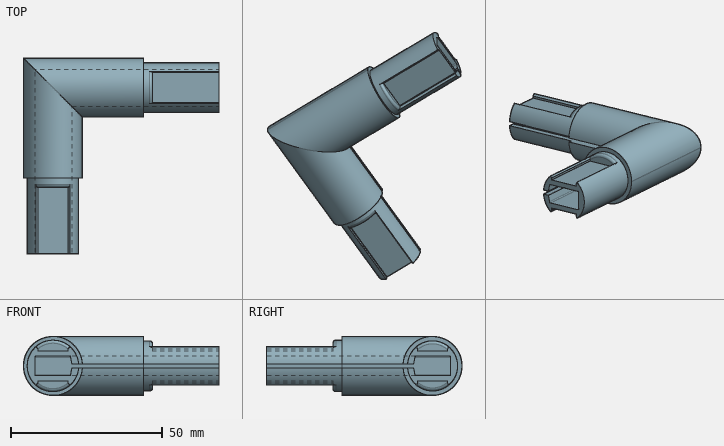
import cadquery as cq
import math

SLEEVE_RADIUS = 9.78
SLEEVE_LENGTH = 30.0
SPIGOT_LENGTH = 25.0
ARM_LENGTH = SLEEVE_LENGTH + SPIGOT_LENGTH
X_SPIGOT_RADIUS = 8.3
Y_SPIGOT_RADIUS = 8.53

COLLAR_LENGTH = 3.0
COLLAR_FILLET = 1.0

POCKET_FLOOR_HEIGHT = 4.96
POCKET_FLOOR_HALF_WIDTH = 5.0
POCKET_BEND_HEIGHT = 5.65
LIP_HEIGHT = 6.38

CAVITY_HALF_HEIGHT = 3.25
CAVITY_OUTER_REACH = 5.97
CAVITY_INNER_REACH = 5.76
CAVITY_FILLET = 0.4
SLOT_HALF_HEIGHT = 0.7
SLOT_MOUTH_REACH = 6.25

MITRE_NORMAL = (1, 1, 0)


def cylinder(radius, start, length):
    """Cylinder about the X axis."""
    return cq.Workplane("YZ").workplane(offset=start).circle(radius).extrude(length)


def pocket(spigot_radius):
    """Upper pocket cutter, with leaning side walls that meet the outside at the lips."""
    lip_half_width = math.sqrt(spigot_radius**2 - LIP_HEIGHT**2)
    top = SLEEVE_RADIUS
    right_side = [
        (POCKET_FLOOR_HALF_WIDTH, POCKET_FLOOR_HEIGHT),
        (POCKET_FLOOR_HALF_WIDTH, POCKET_BEND_HEIGHT),
        (lip_half_width, LIP_HEIGHT),
        (lip_half_width, top),
    ]
    left_side = [(-y, z) for y, z in reversed(right_side)]
    section = cq.Workplane("YZ").workplane(offset=SLEEVE_LENGTH).polyline(right_side + left_side)
    return section.close().extrude(SPIGOT_LENGTH)


def spigot(radius):
    upper_pocket = pocket(radius)
    lower_pocket = upper_pocket.mirror("XY")
    body = cylinder(radius, SLEEVE_LENGTH, SPIGOT_LENGTH).cut(upper_pocket).cut(lower_pocket)
    collar = cylinder(radius, SLEEVE_LENGTH, COLLAR_LENGTH).faces(">X").edges().fillet(COLLAR_FILLET)
    return body.union(collar)


def cavity():
    """Rounded rectangular passage with a tapered side."""
    start = -SLEEVE_RADIUS
    section = cq.Workplane("YZ").workplane(offset=start).polyline([
        (CAVITY_OUTER_REACH, CAVITY_HALF_HEIGHT),
        (-CAVITY_INNER_REACH, CAVITY_HALF_HEIGHT),
        (-SLOT_MOUTH_REACH, SLOT_HALF_HEIGHT),
        (-SLOT_MOUTH_REACH, -SLOT_HALF_HEIGHT),
        (-CAVITY_INNER_REACH, -CAVITY_HALF_HEIGHT),
        (CAVITY_OUTER_REACH, -CAVITY_HALF_HEIGHT),
    ])
    passage = section.close().extrude(ARM_LENGTH - start)
    return passage.edges("|X and (>Z or <Z)").fillet(CAVITY_FILLET)


def slot():
    """Narrow slot from the cavity out through the inner side of the arm."""
    return cq.Workplane("XY").box(
        ARM_LENGTH + SLEEVE_RADIUS,
        SLEEVE_RADIUS,
        2 * SLOT_HALF_HEIGHT,
        centered=(False, False, True),
    ).translate((-SLEEVE_RADIUS, -SLEEVE_RADIUS, 0))


def mitre_side():
    """Prism holding everything on the +X, +Y side of the mitre plane."""
    corners = [
        (-ARM_LENGTH, ARM_LENGTH),
        (ARM_LENGTH, -ARM_LENGTH),
        (ARM_LENGTH, ARM_LENGTH),
    ]
    prism = cq.Workplane("XY").polyline(corners).close()
    return prism.extrude(2 * SLEEVE_RADIUS, both=True)


def arm(spigot_radius):
    """Arm along +X, cut off at the mitre plane."""
    sleeve = cylinder(SLEEVE_RADIUS, -SLEEVE_RADIUS, SLEEVE_LENGTH + SLEEVE_RADIUS)
    body = sleeve.union(spigot(spigot_radius))
    return body.cut(cavity()).cut(slot()).intersect(mitre_side())


x_arm = arm(X_SPIGOT_RADIUS)
y_arm = arm(Y_SPIGOT_RADIUS).mirror(cq.Vector(*MITRE_NORMAL))
result = x_arm.union(y_arm)